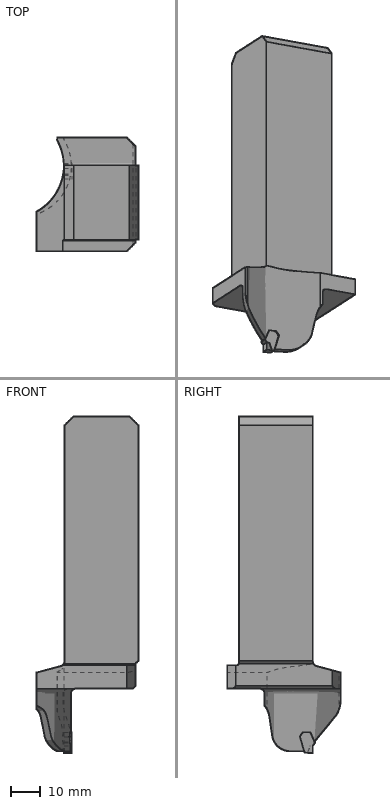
import cadquery as cq
import math

TOTAL_HEIGHT = 113.6

SHANK_SIZE = 25.0
SHANK_LEFT = 9.4
SHANK_RIGHT = SHANK_LEFT + SHANK_SIZE
SHANK_FRONT = 4.0
SHANK_BACK = SHANK_FRONT + SHANK_SIZE
SHANK_TOP_CHAMFER = 3.1
SHANK_FOOT_CHAMFER = 1.0

HEAD_OVERHANG = 9.4
HEAD_RIGHT = SHANK_RIGHT - SHANK_FOOT_CHAMFER
HEAD_BACK = SHANK_BACK + HEAD_OVERHANG
HEAD_BOTTOM = 21.8
LEDGE_TOP = 29.8
FRONT_STEP = 0.5
SLOPE_ANGLE = math.radians(15)
SLOPE_LOW = 27.3
SLOPE_HIGH = SLOPE_LOW + HEAD_OVERHANG * math.tan(SLOPE_ANGLE)
SLOPE_FILLET = 1.5
HEAD_CORNER_CHAMFER = 3.0
HEAD_BOTTOM_CHAMFER = 0.9
SHANK_BOTTOM = LEDGE_TOP + FRONT_STEP

FLUTE_RADIUS = 17.6
FLUTE_REACH = 9.2
OUTER_RADIUS = 17.2
OUTER_REACH = 11.7
BLADE_AXIS_Y = 28.9
BLADE_BOTTOM = 0.7
BLADE_FILLET = 1.6
BACK_FLAT_X = 6.9
BACK_FLAT_Y = 37.6

FRONT_EDGE_TOP = (12.5, 16.2)
FRONT_EDGE_UPPER = (14.2, 12.5)
FRONT_EDGE_LOWER = (15.1, 6.4)
BOTTOM_START = (21.4, BLADE_BOTTOM)
BOTTOM_END = (27.3, BLADE_BOTTOM)
BACK_EDGE_LOWER = (29.5, 4.0)
BACK_EDGE_UPPER = (36.8, 12.8)
BACK_EDGE_TOP = (HEAD_BACK, 18.4)

INSERT_FACE = 9.2
INSERT_REAR = 11.9
INSERT_OUTLINE = [
    (29.0, 0.0),
    (29.0, 2.6),
    (29.6, 3.5),
    (28.1, 7.2),
    (25.6, 7.2),
    (24.5, 5.7),
    (26.1, 0.2),
]
CORNER_Y = INSERT_OUTLINE[0][0]
RAKE_TOP = 2.6
RAKE_TOP_Y = 28.0
RAKE_BOTTOM_Y = 26.9
RAKE_DEPTH = 0.2


def prism_along_y(profile):
    """Extrude an XZ profile over the full depth of the head."""
    return profile.extrude(-HEAD_BACK)


def vertical_cylinder(radius, reach, bottom, top):
    """Upright cylinder on the blade axis line whose rightmost point is X = reach."""
    base = cq.Workplane("XY", origin=(reach - radius, BLADE_AXIS_Y, bottom))
    return base.circle(radius).extrude(top - bottom)


def make_shank():
    left, right = SHANK_LEFT, SHANK_RIGHT
    top, bottom = TOTAL_HEIGHT, SHANK_BOTTOM
    profile = cq.Workplane("XZ", origin=(0, SHANK_FRONT, 0)).polyline([
        (left, bottom),
        (HEAD_RIGHT, bottom),
        (right, bottom + SHANK_FOOT_CHAMFER),
        (right, top - SHANK_TOP_CHAMFER),
        (right - SHANK_TOP_CHAMFER, top),
        (left + SHANK_TOP_CHAMFER, top),
        (left, top - SHANK_TOP_CHAMFER),
    ]).close()
    return profile.extrude(-SHANK_SIZE)


def make_head():
    """Plate whose left and back overhangs slope down and blend into the shank."""
    blend = SLOPE_FILLET * math.tan((math.pi / 2 - SLOPE_ANGLE) / 2)
    blend_run = blend * math.cos(SLOPE_ANGLE)
    blend_low = SLOPE_HIGH - blend * math.sin(SLOPE_ANGLE)
    blend_high = SLOPE_HIGH + blend

    front_profile = (
        cq.Workplane("XZ")
        .moveTo(0, HEAD_BOTTOM)
        .lineTo(0, SLOPE_LOW)
        .lineTo(SHANK_LEFT - blend_run, blend_low)
        .tangentArcPoint((SHANK_LEFT, blend_high), relative=False)
        .lineTo(HEAD_RIGHT, blend_high)
        .lineTo(HEAD_RIGHT, HEAD_BOTTOM + HEAD_BOTTOM_CHAMFER)
        .lineTo(HEAD_RIGHT - HEAD_BOTTOM_CHAMFER, HEAD_BOTTOM)
        .close()
    )
    side_profile = (
        cq.Workplane("YZ")
        .moveTo(HEAD_BACK, HEAD_BOTTOM)
        .lineTo(HEAD_BACK, SLOPE_LOW)
        .lineTo(SHANK_BACK + blend_run, blend_low)
        .tangentArcPoint((SHANK_BACK, blend_high), relative=False)
        .lineTo(SHANK_FRONT, blend_high)
        .lineTo(SHANK_FRONT, LEDGE_TOP + FRONT_STEP)
        .lineTo(SHANK_FRONT - FRONT_STEP, LEDGE_TOP)
        .lineTo(0, LEDGE_TOP)
        .lineTo(0, HEAD_BOTTOM)
        .close()
    )
    plan = cq.Workplane("XY").polyline([
        (0, 0),
        (HEAD_RIGHT - HEAD_CORNER_CHAMFER, 0),
        (HEAD_RIGHT, HEAD_CORNER_CHAMFER),
        (HEAD_RIGHT, HEAD_BACK - HEAD_CORNER_CHAMFER),
        (HEAD_RIGHT - HEAD_CORNER_CHAMFER, HEAD_BACK),
        (0, HEAD_BACK),
    ]).close().extrude(TOTAL_HEIGHT)
    return prism_along_y(front_profile).intersect(side_profile.extrude(HEAD_RIGHT)).intersect(plan)


def make_blade_outline():
    """Side outline of the blade, extruded from the left face to the shank's right face."""
    outline = (
        cq.Workplane("YZ")
        .moveTo(*BACK_EDGE_LOWER)
        .lineTo(*BOTTOM_END)
        .lineTo(*BOTTOM_START)
        .tangentArcPoint(FRONT_EDGE_LOWER, relative=False)
        .lineTo(*FRONT_EDGE_UPPER)
        .tangentArcPoint(FRONT_EDGE_TOP, relative=False)
        .lineTo(0, FRONT_EDGE_TOP[1])
        .lineTo(0, HEAD_BOTTOM)
        .lineTo(HEAD_BACK, HEAD_BOTTOM)
        .lineTo(*BACK_EDGE_TOP)
        .tangentArcPoint(BACK_EDGE_UPPER, relative=False)
        .close()
    )
    return outline.extrude(SHANK_RIGHT)


def make_holder():
    head = make_head()
    column = vertical_cylinder(OUTER_RADIUS, OUTER_REACH, 0, HEAD_BOTTOM)
    blade = column.intersect(make_blade_outline())
    head = head.union(blade)
    root_point = (OUTER_REACH, BLADE_AXIS_Y, HEAD_BOTTOM)
    root_edge = head.edges(cq.selectors.NearestToPointSelector(root_point))
    head = root_edge.fillet(BLADE_FILLET)

    flute = vertical_cylinder(FLUTE_RADIUS, FLUTE_REACH, 0, SHANK_BOTTOM + SLOPE_FILLET)
    back_flat = cq.Workplane("XY").box(
        BACK_FLAT_X, HEAD_BACK - BACK_FLAT_Y, TOTAL_HEIGHT, centered=False
    ).translate((0, BACK_FLAT_Y, 0))
    return make_shank().union(head.cut(flute).cut(back_flat))


def insert_prism(start_x):
    """Insert outline extruded along X from start_x to the rear of the insert."""
    base = cq.Workplane("YZ", origin=(start_x, 0, 0))
    return base.polyline(INSERT_OUTLINE).close().extrude(INSERT_REAR - start_x)


def make_insert():
    """Insert with a shallow rake that rises from its inner step to the cutting edge."""
    wedge = cq.Workplane("XY").polyline([
        (INSERT_FACE, CORNER_Y),
        (INSERT_FACE, RAKE_BOTTOM_Y),
        (INSERT_FACE + RAKE_DEPTH, RAKE_BOTTOM_Y),
    ]).close().extrude(RAKE_TOP)
    rake_area = cq.Workplane("YZ", origin=(INSERT_FACE, 0, 0)).polyline([
        (CORNER_Y, 0),
        (CORNER_Y, RAKE_TOP),
        (RAKE_TOP_Y, RAKE_TOP),
        (RAKE_BOTTOM_Y, 0),
    ]).close().extrude(RAKE_DEPTH)
    return insert_prism(INSERT_FACE).cut(wedge.intersect(rake_area))


holder = make_holder().cut(insert_prism(0))
insert = make_insert()

result = cq.Compound.makeCompound([holder.solids().val(), insert.solids().val()])